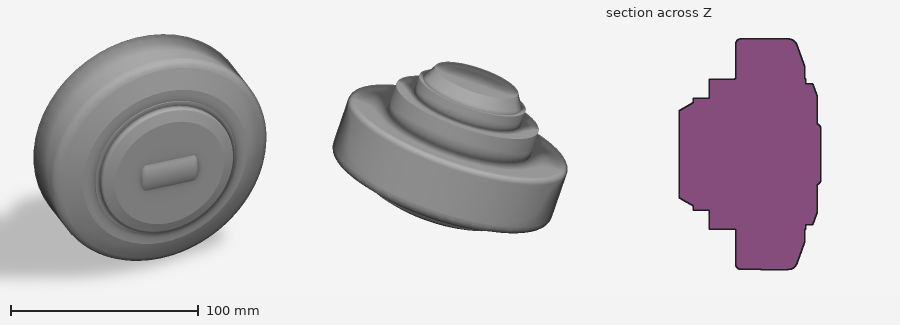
import cadquery as cq
import math

tip_radius = 23.2
tip_taper_end_radius = 27.5
tip_taper_length = 7.5
shaft_radius = 29.9
hub_radius = 40.0
hub_start_x = 16.0

core_radius = 40.2
core_back_x = 29.4
core_front_x = 67.5

wheel_radius = 61.5
wheel_back_x = 30.0
wheel_front_x = 66.9
wheel_front_radius = 47.0
wheel_back_rounding = 3.0
wheel_front_rounding = 5.2

cap_radius = 37.6
cap_front_x = 73.5
cap_front_radius = 31.2
cap_rounding = 1.1

bevel_angle = math.radians(20)

total_length = 75.5
roller_radius = 17.0
roller_length = 33.0
roller_rounding = 3.0


def disc(start_x, end_x, radius):
    return cq.Workplane("YZ", origin=(start_x, 0, 0)).circle(radius).extrude(end_x - start_x)


def bevelled_disc(start_x, end_x, radius, front_radius, front_rounding):
    """Disc with a conical front face whose outer corner is rounded."""
    corner_x = end_x - (radius - front_radius) * math.tan(bevel_angle)
    profile = [
        (start_x, 0),
        (start_x, radius),
        (corner_x, radius),
        (end_x, front_radius),
        (end_x, 0),
    ]
    body = cq.Workplane("XY").polyline(profile).close().revolve(360, (0, 0, 0), (1, 0, 0))
    corner = cq.selectors.BoxSelector(
        (corner_x - front_rounding / 2, -2 * radius, -2 * radius),
        (corner_x + front_rounding / 2, 2 * radius, 2 * radius),
    )
    return body.edges("%CIRCLE").edges(corner).fillet(front_rounding)


def shaft():
    profile = [
        (0, 0),
        (0, tip_radius),
        (tip_taper_length, tip_taper_end_radius),
        (tip_taper_length, shaft_radius),
        (hub_start_x, shaft_radius),
        (hub_start_x, hub_radius),
        (core_back_x, hub_radius),
        (core_back_x, 0),
    ]
    return cq.Workplane("XY").polyline(profile).close().revolve(360, (0, 0, 0), (1, 0, 0))


def wheel():
    body = bevelled_disc(
        wheel_back_x, wheel_front_x, wheel_radius, wheel_front_radius, wheel_front_rounding
    )
    return body.faces("<X").edges().fillet(wheel_back_rounding)


def side_roller():
    center_x = total_length - roller_radius
    body = cq.Workplane("XZ", origin=(center_x, 0, 0)).circle(roller_radius)
    body = body.extrude(roller_length / 2, both=True)
    return body.faces("<Y or >Y").edges().fillet(roller_rounding)


core = disc(core_back_x, core_front_x, core_radius)
cap = bevelled_disc(core_front_x, cap_front_x, cap_radius, cap_front_radius, cap_rounding)

result = shaft().union(core).union(wheel()).union(cap).union(side_roller())